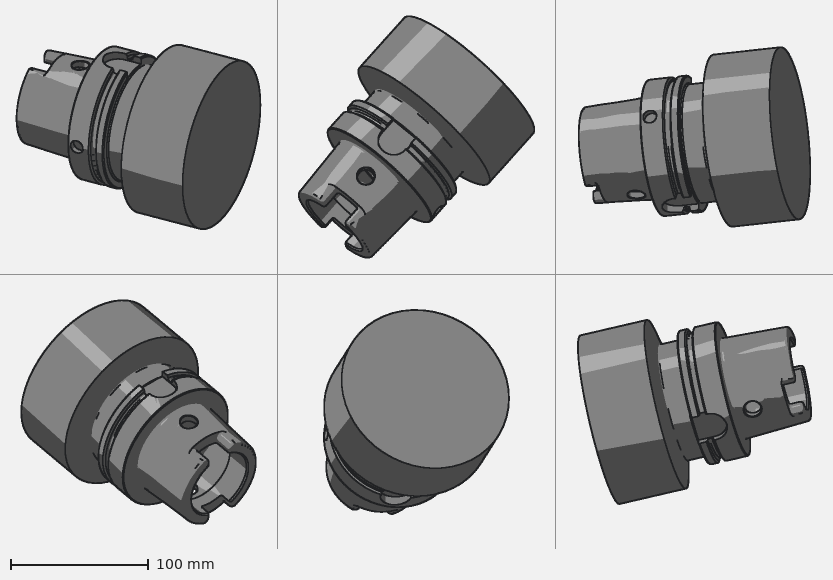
import cadquery as cq
import math

total_length = 149.9
flange_start = 49.9
flange_width = 29.0
flange_end = flange_start + flange_width
head_start = 100.0

taper_end_diameter = 75.1
taper_slope = 0.05
taper_end = 47.4
rim_round = 2.0
base_round = 1.5

flange_diameter = 100.0
flange_front_chamfer = 0.6
flange_rear_chamfer = 0.9
groove_center = flange_start + 20.0
groove_mouth_width = 6.3
groove_width = 4.2
groove_floor_diameter = 92.3
groove_wall_angle = 60.0
groove_floor_round = 1.0

neck_diameter = 87.0
neck_round = 1.0
head_diameter = 126.0
head_cone_angle = 15.0

mouth_diameter = 54.3
mouth_chamfer_length = 1.3
lip_diameter = 52.5
lip_end = 20.1
cavity_diameter = 63.0
cavity_floor_x = 47.5
cavity_floor_round = 7.0
coolant_diameter = 23.1
coolant_chamfer = 0.5
coolant_depth = 12.0
drill_diameter = 12.1
drill_depth = 9.0
drill_tip_angle = 118.0

slot_half_width = 9.6
upper_slot_depth = 15.3
lower_slot_depth = 10.0
slot_corner_top = 32.1
slot_shoulder_slope = 15.0
slot_corner_radius = 4.5
slot_floor_round = 1.6

notch_half_width = 11.1
notch_start = 54.7
notch_floor_height = 43.5
cross_hole_x = 35.1
cross_hole_diameter = 12.6
cross_hole_chamfer = 0.5
chip_hole_x = 57.3
chip_hole_diameter = 10.0
chip_hole_depth = 5.0

clearance = 3.0


def turn(profile):
    """Revolve an (x, radius) profile drawn in the XY plane about the X axis."""
    return profile.close().revolve(360, (0, 0, 0), (1, 0, 0))


def make_body():
    """Turned outside: taper shank, flange, neck and head, as one solid."""
    taper_radius = taper_end_diameter / 2
    flange_radius = flange_diameter / 2
    neck_radius = neck_diameter / 2
    head_radius = head_diameter / 2
    head_cone_length = (head_radius - neck_radius) * math.tan(math.radians(head_cone_angle))
    rim_radius = taper_radius - taper_slope * (taper_end - rim_round)
    profile = (
        cq.Workplane("XY")
        .moveTo(0, 0)
        .lineTo(0, rim_radius - rim_round)
        .radiusArc((rim_round, rim_radius), rim_round)
        .lineTo(taper_end, taper_radius)
        .lineTo(flange_start - base_round, taper_radius)
        .radiusArc((flange_start, taper_radius + base_round), -base_round)
        .lineTo(flange_start, flange_radius - flange_front_chamfer)
        .lineTo(flange_start + flange_front_chamfer, flange_radius)
        .lineTo(flange_end - flange_rear_chamfer, flange_radius)
        .lineTo(flange_end, flange_radius - flange_rear_chamfer)
        .lineTo(flange_end, neck_radius + neck_round)
        .radiusArc((flange_end + neck_round, neck_radius), -neck_round)
        .lineTo(head_start - head_cone_length, neck_radius)
        .lineTo(head_start, head_radius)
        .lineTo(total_length, head_radius)
        .lineTo(total_length, 0)
    )
    body = turn(profile)
    cone_foot = cq.selectors.BoxSelector(
        (head_start - head_cone_length - 0.1, -neck_radius - 1.5, -neck_radius - 1.5),
        (head_start - head_cone_length + 0.1, neck_radius + 1.5, neck_radius + 1.5),
        boundingbox=True,
    )
    return body.edges(cone_foot).fillet(neck_round)


def make_groove():
    """Ring cutter for the gripper groove: sloped mouth, straight sides, rounded floor."""
    flange_radius = flange_diameter / 2
    floor_radius = groove_floor_diameter / 2
    mouth_half = groove_mouth_width / 2
    half = groove_width / 2
    slope_foot = flange_radius - (mouth_half - half) * math.tan(math.radians(groove_wall_angle))
    floor_half = half - groove_floor_round
    profile = (
        cq.Workplane("XY")
        .moveTo(groove_center - mouth_half, flange_radius + clearance)
        .lineTo(groove_center - mouth_half, flange_radius)
        .lineTo(groove_center - half, slope_foot)
        .lineTo(groove_center - half, floor_radius + groove_floor_round)
        .radiusArc((groove_center - floor_half, floor_radius), -groove_floor_round)
        .lineTo(groove_center + floor_half, floor_radius)
        .radiusArc((groove_center + half, floor_radius + groove_floor_round), -groove_floor_round)
        .lineTo(groove_center + half, slope_foot)
        .lineTo(groove_center + mouth_half, flange_radius)
        .lineTo(groove_center + mouth_half, flange_radius + clearance)
    )
    return turn(profile)


def make_bore():
    """Shank bore with its clamping cavity, coolant bore and drilled center hole."""
    lip_radius = lip_diameter / 2
    cavity_radius = cavity_diameter / 2
    coolant_radius = coolant_diameter / 2
    drill_radius = drill_diameter / 2
    coolant_end = cavity_floor_x + coolant_depth
    drill_end = coolant_end + drill_depth
    tip_length = drill_radius / math.tan(math.radians(drill_tip_angle / 2))
    profile = (
        cq.Workplane("XY")
        .moveTo(0, 0)
        .lineTo(0, mouth_diameter / 2)
        .lineTo(mouth_chamfer_length, lip_radius)
        .lineTo(lip_end, lip_radius)
        .lineTo(lip_end, cavity_radius)
        .lineTo(cavity_floor_x - cavity_floor_round, cavity_radius)
        .radiusArc((cavity_floor_x, cavity_radius - cavity_floor_round), cavity_floor_round)
        .lineTo(cavity_floor_x, coolant_radius + coolant_chamfer)
        .lineTo(cavity_floor_x + coolant_chamfer, coolant_radius)
        .lineTo(coolant_end, coolant_radius)
        .lineTo(coolant_end, drill_radius)
        .lineTo(drill_end, drill_radius)
        .lineTo(drill_end + tip_length, 0)
    )
    return turn(profile)


def make_slot(depth):
    """Upper drive slot cutter: it widens over rounded corners onto two sloped shoulders."""
    shank_radius = taper_end_diameter / 2
    slope = math.radians(slot_shoulder_slope)
    corner_y = slot_half_width + slot_corner_radius
    corner_z = slot_corner_top - slot_corner_radius
    corner_end_y = corner_y + slot_corner_radius * math.sin(slope)
    corner_end_z = corner_z + slot_corner_radius * math.cos(slope)
    edge_z = corner_end_z - (shank_radius - corner_end_y) * math.tan(slope)
    slot = (
        cq.Workplane("YZ")
        .moveTo(-slot_half_width, 0)
        .lineTo(slot_half_width, 0)
        .lineTo(slot_half_width, corner_z)
        .radiusArc((corner_end_y, corner_end_z), slot_corner_radius)
        .lineTo(shank_radius, edge_z)
        .lineTo(shank_radius, shank_radius + clearance)
        .lineTo(-shank_radius, shank_radius + clearance)
        .lineTo(-shank_radius, edge_z)
        .lineTo(-corner_end_y, corner_end_z)
        .radiusArc((-slot_half_width, corner_z), slot_corner_radius)
        .close()
        .extrude(depth)
    )
    slot = slot.edges(">X").edges("not(<Z or >Z or <Y or >Y)").fillet(slot_floor_round)
    plate = (
        cq.Workplane("YZ")
        .center(0, (shank_radius + clearance) / 2)
        .rect(2 * shank_radius, shank_radius + clearance)
        .extrude(-clearance)
    )
    mouth_edges = cq.selectors.BoxSelector(
        (-0.1, -0.9 * shank_radius, 1.5), (0.1, 0.9 * shank_radius, slot_corner_top + 1.5)
    )
    return slot.union(plate).edges(mouth_edges).fillet(rim_round)


def make_notch():
    """Upper flange notch cutter: flat floor, round front end, open at the rear face."""
    height = flange_diameter / 2 + clearance - notch_floor_height
    center_x = notch_start + notch_half_width
    return (
        cq.Workplane("XY", origin=(0, 0, notch_floor_height))
        .moveTo(flange_end, -notch_half_width)
        .lineTo(center_x, -notch_half_width)
        .threePointArc((notch_start, 0), (center_x, notch_half_width))
        .lineTo(flange_end, notch_half_width)
        .close()
        .extrude(height)
    )


def make_cross_hole():
    """Hole straight through the shank along Z."""
    return (
        cq.Workplane("XY", origin=(cross_hole_x, 0, 0))
        .circle(cross_hole_diameter / 2)
        .extrude(taper_end_diameter / 2 + clearance, both=True)
    )


def make_chip_hole():
    """Blind data-chip hole in the -Y side of the flange."""
    floor_y = chip_hole_depth - flange_diameter / 2
    return (
        cq.Workplane("XZ", origin=(chip_hole_x, floor_y, 0))
        .circle(chip_hole_diameter / 2)
        .extrude(chip_hole_depth + clearance)
    )


def half_turn(cutter):
    """Turn a cutter from the +Z side to the -Z side."""
    return cutter.rotate((0, 0, 0), (1, 0, 0), 180)


part = make_body().cut(make_groove())

part = part.cut(make_slot(upper_slot_depth)).cut(half_turn(make_slot(lower_slot_depth)))

for cutter in (make_notch(), half_turn(make_notch()), make_bore(), make_cross_hole(), make_chip_hole()):
    part = part.cut(cutter)

for side in (-1, 1):
    outer_rim = cq.selectors.BoxSelector(
        (cross_hole_x - cross_hole_diameter, -cross_hole_diameter, side * cavity_diameter / 2),
        (cross_hole_x + cross_hole_diameter, cross_hole_diameter, side * flange_diameter / 2),
    )
    part = part.edges("not #Z").edges(outer_rim).chamfer(cross_hole_chamfer)

result = part